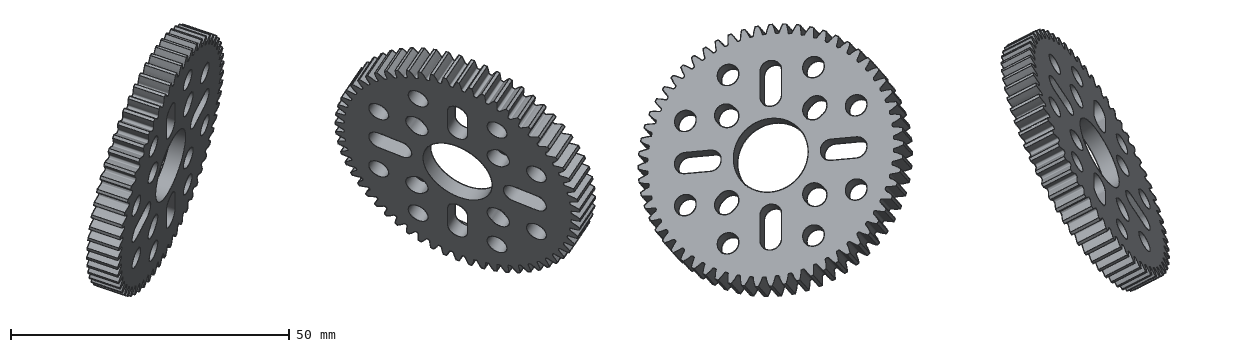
import cadquery as cq
import math

OUTER_DIAMETER = 49.6
FACE_WIDTH = 6.0
TOOTH_COUNT = 60
PRESSURE_ANGLE = math.radians(20)
DEDENDUM_FACTOR = 1.25
ROOT_FILLET_RADIUS = 0.3
FLANK_POINTS = 5

MODULE = OUTER_DIAMETER / (TOOTH_COUNT + 2)
OUTER_RADIUS = OUTER_DIAMETER / 2
PITCH_RADIUS = MODULE * TOOTH_COUNT / 2
ROOT_RADIUS = PITCH_RADIUS - DEDENDUM_FACTOR * MODULE
BASE_RADIUS = PITCH_RADIUS * math.cos(PRESSURE_ANGLE)
TOOTH_PITCH_ANGLE = 2 * math.pi / TOOTH_COUNT

BORE_DIAMETER = 14.0
RECESS_DIAMETER = 43.15
RECESS_DEPTH = FACE_WIDTH / 2
HOLE_DIAMETER = 4.0
HOLE_PITCH = 8.0
BOLT_CIRCLE_RADIUS = 12.0

DIAGONAL_HOLE_RADIUS = HOLE_PITCH * math.sqrt(2)


def polar(radius, angle):
    return (radius * math.cos(angle), radius * math.sin(angle))


def involute(angle):
    return math.tan(angle) - angle


def tooth_half_angle(radius):
    """Half of the angle that one tooth spans at the given radius."""
    local_pressure_angle = math.acos(BASE_RADIUS / radius)
    return TOOTH_PITCH_ANGLE / 4 + involute(PRESSURE_ANGLE) - involute(local_pressure_angle)


def flank(center_angle, side):
    """Points up one tooth flank, from root to tip; side is -1 or 1."""
    step = (OUTER_RADIUS - ROOT_RADIUS) / (FLANK_POINTS - 1)
    radii = [ROOT_RADIUS + i * step for i in range(FLANK_POINTS)]
    return [polar(r, center_angle + side * tooth_half_angle(r)) for r in radii]


def gear_blank():
    """Toothed disc with its recessed face on X = 0 and a tooth centred on +Y."""
    profile = cq.Workplane("YZ").moveTo(*flank(0, -1)[0])
    for i in range(TOOTH_COUNT):
        tooth_angle = i * TOOTH_PITCH_ANGLE
        rising = flank(tooth_angle, -1)
        falling = flank(tooth_angle, 1)[::-1]
        next_root = flank(tooth_angle + TOOTH_PITCH_ANGLE, -1)[0]
        profile = profile.spline(rising[1:], includeCurrent=True)
        profile = profile.threePointArc(polar(OUTER_RADIUS, tooth_angle), falling[0])
        profile = profile.spline(falling[1:], includeCurrent=True)
        gap_middle = polar(ROOT_RADIUS, tooth_angle + TOOTH_PITCH_ANGLE / 2)
        profile = profile.threePointArc(gap_middle, next_root)
    blank = profile.close().extrude(FACE_WIDTH)

    root_corners = blank.edges("|X").filter(
        lambda edge: math.hypot(edge.Center().y, edge.Center().z) < PITCH_RADIUS
    )
    return root_corners.fillet(ROOT_FILLET_RADIUS)


def bore():
    return cq.Workplane("YZ").circle(BORE_DIAMETER / 2).extrude(FACE_WIDTH)


def recess():
    """Round pocket in the face at X = 0."""
    return cq.Workplane("YZ").circle(RECESS_DIAMETER / 2).extrude(RECESS_DEPTH)


def radial_slots(inner_radius, outer_radius, start_angle):
    """Four round-ended slots, given by the radii of their end centres."""
    length = outer_radius - inner_radius + HOLE_DIAMETER
    middle_radius = (inner_radius + outer_radius) / 2
    return (
        cq.Workplane("YZ")
        .polarArray(middle_radius, start_angle, 360, 4)
        .slot2D(length, HOLE_DIAMETER)
        .extrude(FACE_WIDTH)
    )


def grid_holes():
    """Eight holes, one grid step along one axis and two along the other."""
    centers = []
    for y_sign in (-1, 1):
        for z_sign in (-1, 1):
            centers.append((y_sign * HOLE_PITCH, z_sign * 2 * HOLE_PITCH))
            centers.append((y_sign * 2 * HOLE_PITCH, z_sign * HOLE_PITCH))
    return cq.Workplane("YZ").pushPoints(centers).circle(HOLE_DIAMETER / 2).extrude(FACE_WIDTH)


openings = recess().union(bore()).union(grid_holes())
openings = openings.union(radial_slots(DIAGONAL_HOLE_RADIUS, 2 * HOLE_PITCH, 0))
openings = openings.union(radial_slots(DIAGONAL_HOLE_RADIUS, BOLT_CIRCLE_RADIUS, 45))

result = gear_blank().cut(openings).translate((-FACE_WIDTH / 2, 0, 0))